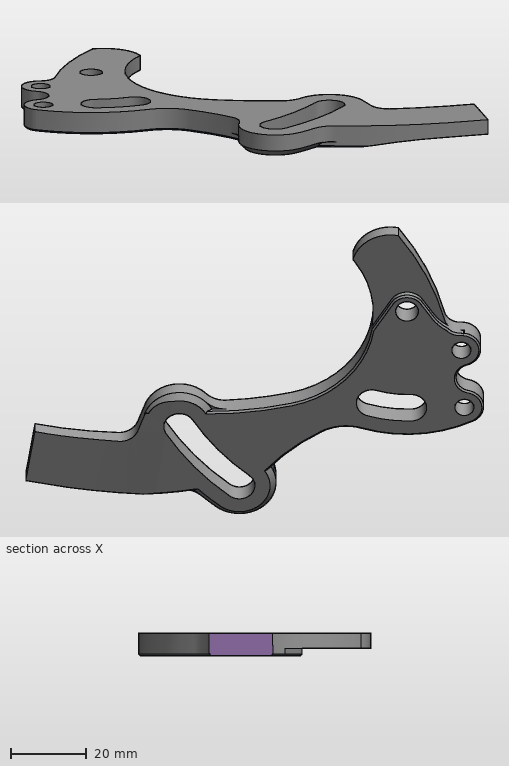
import cadquery as cq
import math

THICKNESS = 5.99
ARM_THICKNESS = 4.0
ARM_UNDERSIDE = THICKNESS - ARM_THICKNESS
EDGE_CHAMFER = 0.5
BOSS_CHAMFER = 1.6

PIVOT = (10.45, 38.4)
PIVOT_HOLE_RADIUS = 3.0

UPPER_EAR = (5.1, 20.4)
LOWER_EAR = (14.2, 5.1)
EAR_RADIUS = 5.1
EAR_HOLE_RADIUS = 2.5
NOTCH_RADIUS = 4.1
SECTOR_RADIUS = math.dist(PIVOT, LOWER_EAR) + EAR_RADIUS

SLOT_RADIUS = 4.1
SHORT_SLOT_ORBIT = 30.0
SHORT_SLOT_ANGLES = (-58.75, -38.7)
LONG_SLOT_ORBIT = 70.0
LONG_SLOT_ANGLES = (-17.5, 2.4)
BOSS_RADIUS = 9.7

RECESS = (42.2, 57.3)
RECESS_RADIUS = 28.0
RECESS_END_ANGLE = -70.0

LEFT_TIP_INNER = (RECESS[0] - RECESS_RADIUS, 58.7)
LEFT_TIP_RADIUS = 10.2
LEFT_ARM_RADIUS = 75.0
LEFT_ARM_CENTER = (LEFT_ARM_RADIUS, 54.7)
LEFT_TIP_OUTER_ANGLE = 177.2
ARM_ROOT_RADIUS = 4.1

WEB_TOP_END_ANGLE = -54.9
WEB_TOP_RADIUS = 95.0
WEB_BOTTOM_START_ANGLE = -31.3
WEB_BOTTOM_END = (74.0, 15.32)
WEB_BOTTOM_RADIUS = 54.07

RIGHT_ARM_START = (84.0, 20.9)
RIGHT_ARM_KNEE = (116.1, 40.75)
RIGHT_TIP_OUTER = (124.16, 48.55)
RIGHT_TIP_INNER = (113.75, 60.0)
RIGHT_ARM_CROTCH = (93.67, 43.46)
RIGHT_ARM_OUTER_RADIUS = 103.2
RIGHT_ARM_INNER_RADIUS = 123.0
BOSS_LOW_ANGLE = 150.0
BOSS_HIGH_ANGLE = 215.0
BOSS_TANGENT_ANGLE = 54.7

PLATE_CORNERS = [
    ((43.3, 18.5), 13.0),
    ((93.7, 43.5), 5.3),
]
BOSS_CORNERS = [
    ((67.5, 17.5), 5.6),
    ((70.7, 40.3), 6.9),
    ((88.6, 22.8), 7.2),
]

CHAMFERED_EDGES = [
    (30.4, 7.2),
    (100.7, 29.8),
    (63.1, 36.3),
]

PAD_RADIUS = 4.8
PAD_FLANK_END = 33.0
PAD_ROOT = (1.9, 24.2)
PAD_EDGE_ANGLE = 65.0

RAMP_LENGTH = 23.0


def polar(center, radius, degrees):
    angle = math.radians(degrees)
    return (center[0] + radius * math.cos(angle), center[1] + radius * math.sin(angle))


LONG_SLOT_LOW, LONG_SLOT_HIGH = (polar(PIVOT, LONG_SLOT_ORBIT, angle) for angle in LONG_SLOT_ANGLES)


def angle_to(center, target):
    return math.degrees(math.atan2(target[1] - center[1], target[0] - center[0]))


def touching_center(first, first_radius, second, second_radius, radius):
    """Centre of a circle that touches two circles from outside, right of the way from first to second."""
    gap = math.dist(first, second)
    first_reach = first_radius + radius
    second_reach = second_radius + radius
    turn = math.acos((gap**2 + first_reach**2 - second_reach**2) / (2 * gap * first_reach))
    return polar(first, first_reach, angle_to(first, second) - math.degrees(turn))


def plate():
    """Whole plate without the slotted boss, with sharp inner corners."""
    root = touching_center(LEFT_ARM_CENTER, LEFT_ARM_RADIUS, UPPER_EAR, EAR_RADIUS, ARM_ROOT_RADIUS)
    notch = touching_center(UPPER_EAR, EAR_RADIUS, LOWER_EAR, EAR_RADIUS, NOTCH_RADIUS)
    tip_outer = polar(LEFT_ARM_CENTER, LEFT_ARM_RADIUS, LEFT_TIP_OUTER_ANGLE)
    root_start = polar(LEFT_ARM_CENTER, LEFT_ARM_RADIUS, angle_to(LEFT_ARM_CENTER, root))
    root_end = polar(UPPER_EAR, EAR_RADIUS, angle_to(UPPER_EAR, root))
    ear_left = polar(UPPER_EAR, EAR_RADIUS, 180)
    notch_start = polar(UPPER_EAR, EAR_RADIUS, angle_to(UPPER_EAR, notch))
    notch_end = polar(LOWER_EAR, EAR_RADIUS, angle_to(LOWER_EAR, notch))
    rim_start = polar(PIVOT, SECTOR_RADIUS, angle_to(PIVOT, LOWER_EAR))
    rim_end = polar(PIVOT, SECTOR_RADIUS, WEB_BOTTOM_START_ANGLE)

    flank_start = polar(LONG_SLOT_HIGH, BOSS_RADIUS, BOSS_TANGENT_ANGLE)
    recess_end = polar(RECESS, RECESS_RADIUS, RECESS_END_ANGLE)
    recess_middle = polar(RECESS, RECESS_RADIUS, (RECESS_END_ANGLE - 180) / 2)
    recess_start = polar(RECESS, RECESS_RADIUS, 180)
    web_top_center = polar(RECESS, RECESS_RADIUS - WEB_TOP_RADIUS, RECESS_END_ANGLE)
    web_top_end = polar(web_top_center, WEB_TOP_RADIUS, WEB_TOP_END_ANGLE)

    return (
        cq.Workplane("XY")
        .moveTo(*tip_outer)
        .radiusArc(root_start, -LEFT_ARM_RADIUS)
        .radiusArc(root_end, ARM_ROOT_RADIUS)
        .threePointArc(ear_left, notch_start)
        .radiusArc(notch_end, NOTCH_RADIUS)
        .radiusArc(rim_start, -EAR_RADIUS)
        .radiusArc(rim_end, -SECTOR_RADIUS)
        .radiusArc(WEB_BOTTOM_END, WEB_BOTTOM_RADIUS)
        .lineTo(*RIGHT_ARM_START)
        .radiusArc(RIGHT_ARM_KNEE, -RIGHT_ARM_OUTER_RADIUS)
        .lineTo(*RIGHT_TIP_OUTER)
        .lineTo(*RIGHT_TIP_INNER)
        .radiusArc(RIGHT_ARM_CROTCH, RIGHT_ARM_INNER_RADIUS)
        .lineTo(*flank_start)
        .lineTo(*web_top_end)
        .radiusArc(recess_end, WEB_TOP_RADIUS)
        .threePointArc(recess_middle, recess_start)
        .lineTo(*LEFT_TIP_INNER)
        .radiusArc(tip_outer, -LEFT_TIP_RADIUS)
        .close()
        .extrude(THICKNESS)
    )


def curved_slot(orbit, angles, radius, height):
    """Solid of a slot shape bent about the pivot, with round ends."""
    start, end = angles
    middle = (start + end) / 2
    inner = orbit - radius
    outer = orbit + radius
    return (
        cq.Workplane("XY")
        .moveTo(*polar(PIVOT, inner, start))
        .radiusArc(polar(PIVOT, outer, start), -radius)
        .threePointArc(polar(PIVOT, outer, middle), polar(PIVOT, outer, end))
        .radiusArc(polar(PIVOT, inner, end), -radius)
        .threePointArc(polar(PIVOT, inner, middle), polar(PIVOT, inner, start))
        .close()
        .extrude(height)
    )


def boss():
    """Boss around the long slot; its straight left side lies inside the web."""
    low_angle, high_angle = LONG_SLOT_ANGLES
    outer = LONG_SLOT_ORBIT + BOSS_RADIUS
    low_middle = polar(LONG_SLOT_LOW, BOSS_RADIUS, low_angle - 90)
    high_middle = polar(LONG_SLOT_HIGH, BOSS_RADIUS, high_angle + 90)
    return (
        cq.Workplane("XY")
        .moveTo(*polar(LONG_SLOT_LOW, BOSS_RADIUS, BOSS_LOW_ANGLE))
        .threePointArc(low_middle, polar(PIVOT, outer, low_angle))
        .radiusArc(polar(PIVOT, outer, high_angle), -outer)
        .threePointArc(high_middle, polar(LONG_SLOT_HIGH, BOSS_RADIUS, BOSS_HIGH_ANGLE))
        .close()
        .extrude(THICKNESS)
    )


def round_corners(body, corners):
    """Fillet the upright edge nearest to each listed corner."""
    for (x, y), radius in corners:
        corner = cq.selectors.NearestToPointSelector((x, y, THICKNESS / 2))
        body = body.edges("|Z").edges(corner).fillet(radius)
    return body


def chamfer_bottom(body, points):
    """Chamfer the bottom edges nearest to the points; a chamfer runs on along tangent edges."""
    for x, y in points:
        edge = cq.selectors.NearestToPointSelector((x, y, 0))
        body = body.faces("<Z").edges(edge).chamfer(EDGE_CHAMFER)
    return body


def upper_layer():
    """Upright-walled part of the plate, above all chamfers."""
    body = round_corners(plate(), PLATE_CORNERS)
    body = round_corners(body.union(boss()), BOSS_CORNERS)
    return body.faces("<Z").workplane(offset=-BOSS_CHAMFER).split(keepBottom=True)


def lower_layer():
    """Chamfered part of the plate, as high as the boss chamfer."""
    body = chamfer_bottom(round_corners(plate(), PLATE_CORNERS), CHAMFERED_EDGES)
    chamfered_boss = boss().faces("<Z").chamfer(BOSS_CHAMFER)
    body = round_corners(body.union(chamfered_boss), BOSS_CORNERS)
    return body.faces("<Z").workplane(offset=-BOSS_CHAMFER).split(keepTop=True)


def left_arm_relief():
    """Material below the thin left arm, all around the pad of the pivot hole."""
    far = RECESS[1] + RECESS_RADIUS
    edge_start = polar(PIVOT, PAD_RADIUS, PAD_EDGE_ANGLE)
    edge_end = polar(edge_start, RECESS_RADIUS / 2, PAD_EDGE_ANGLE - 90)
    pad_left = polar(PIVOT, PAD_RADIUS, 180)
    pad_upper_left = polar(PIVOT, PAD_RADIUS, (180 + PAD_EDGE_ANGLE) / 2)
    sweep_x = pad_left[0] - PAD_ROOT[0]
    sweep_y = PAD_FLANK_END - PAD_ROOT[1]
    flank_radius = (sweep_x**2 + sweep_y**2) / (2 * sweep_x)
    return (
        cq.Workplane("XY")
        .moveTo(-EAR_RADIUS, PAD_ROOT[1])
        .lineTo(*PAD_ROOT)
        .radiusArc((pad_left[0], PAD_FLANK_END), -flank_radius)
        .lineTo(*pad_left)
        .threePointArc(pad_upper_left, edge_start)
        .lineTo(*edge_end)
        .lineTo(edge_end[0], far)
        .lineTo(-EAR_RADIUS, far)
        .close()
        .extrude(ARM_UNDERSIDE)
    )


def right_arm_ramp():
    """Cylindrical hollow under the right arm that runs out into the flat arm end."""
    along = angle_to(RIGHT_TIP_OUTER, RIGHT_TIP_INNER) - 90
    width = 2 * RIGHT_ARM_INNER_RADIUS
    frame = cq.Plane(
        origin=(*polar(RIGHT_ARM_KNEE, width / 2, along + 90), 0),
        xDir=(*polar((0, 0), 1, along), 0),
        normal=(*polar((0, 0), 1, along - 90), 0),
    )
    ramp_radius = (RAMP_LENGTH**2 + ARM_UNDERSIDE**2) / (2 * ARM_UNDERSIDE)
    return (
        cq.Workplane(frame)
        .moveTo(-RAMP_LENGTH, 0)
        .radiusArc((0, ARM_UNDERSIDE), ramp_radius)
        .lineTo(RAMP_LENGTH, ARM_UNDERSIDE)
        .lineTo(RAMP_LENGTH, 0)
        .close()
        .extrude(width)
    )


def hole(center, radius):
    return cq.Workplane("XY").center(*center).circle(radius).extrude(THICKNESS)


result = upper_layer().union(lower_layer())
result = result.cut(left_arm_relief())
result = chamfer_bottom(result, [polar(PIVOT, PAD_RADIUS, 180)])
result = result.cut(right_arm_ramp())
result = result.cut(hole(PIVOT, PIVOT_HOLE_RADIUS))
for ear in (UPPER_EAR, LOWER_EAR):
    result = result.cut(hole(ear, EAR_HOLE_RADIUS))
result = result.cut(curved_slot(SHORT_SLOT_ORBIT, SHORT_SLOT_ANGLES, SLOT_RADIUS, THICKNESS))
result = result.cut(curved_slot(LONG_SLOT_ORBIT, LONG_SLOT_ANGLES, SLOT_RADIUS, THICKNESS))